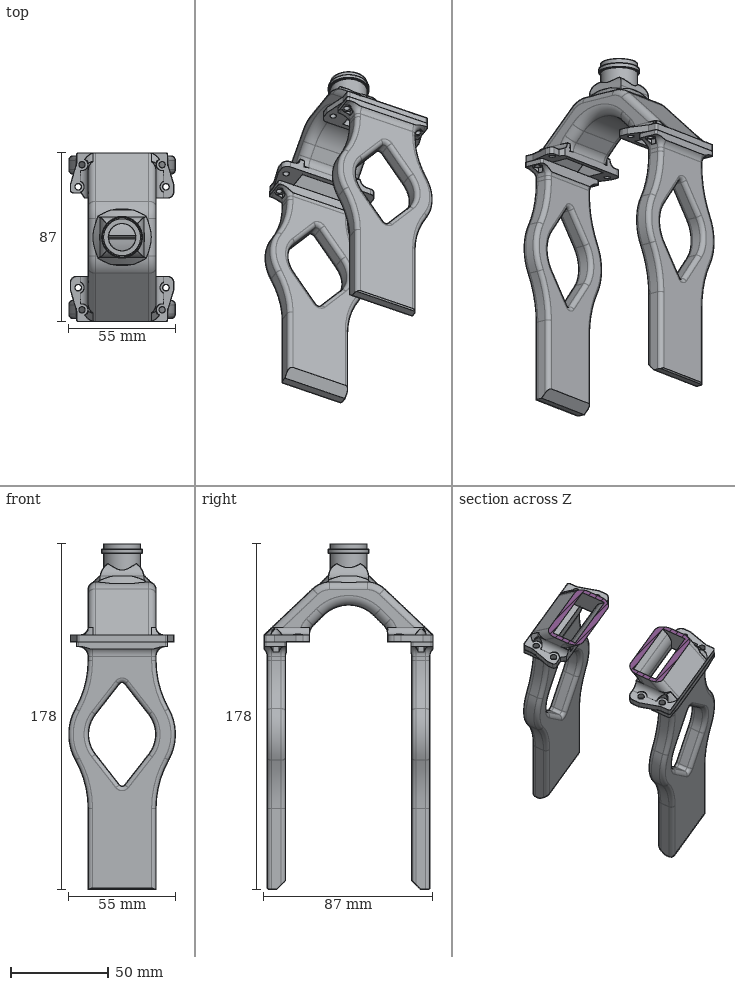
import cadquery as cq
import math

total_height = 178.0
total_width = 55.0
total_depth = 87.0
leg_length = 127.6
flange_thickness = 3.5
flange_top = leg_length + flange_thickness
body_width = 35.0
half_width = body_width / 2
outer_y = total_depth / 2

duct_top = 158.5
arch_crown = 146.5
arch_radius = 18.5
outer_slope = math.radians(43.5)
tunnel_slope = math.radians(45)
foot_inner_y = 20.1
shoulder_radius = 12.8
foot_bend_radius = 6.4
outer_edge_radius = 4.0
inner_edge_radius = 5.0
wall = 2.5
splitter_thickness = 1.6
splitter_height = 2.7
foot_blend_radius = 4.0

neck_diameter = 19.0
bore_diameter = 14.0
ring_diameter = 21.0
ring_height = 2.5
ring_bottom = 173.0
ring_chamfer = 0.4
flare_top = 167.9
flare_x_outline = [(7.3, flare_top), (10.1, 164.8), (11.4, 160.5)]
flare_y_outline = [(6.0, flare_top), (9.3, 165.0), (10.3, 161.6)]
flare_base = 154.9
skirt_bottom = 157.7
skirt_height = 4.0
skirt_corner = (12.8, 11.4)
skirt_reach_x = 15.5
skirt_reach_y = 14.6
skirt_taper = 45.0

ear_x = 26.7
ear_y = 27.0
ear_corner_radius = 3.4
flange_x = 23.3
flange_waist_y = 38.3
flange_corner_radius = 1.0
notch_depth = 2.7
notch_x = 21.0
notch_foot = 1.8
notch_corner_radius = 1.6
hole_diameter = 3.2
spotface_diameter = 6.0
leg_screw_x, leg_screw_y = 20.6, 37.4
ear_screw_x, ear_screw_y = 22.6, 26.0

screw_places = [(leg_screw_x, leg_screw_y), (ear_screw_x, ear_screw_y)]

leg_thickness = 9.5
leg_y = 37.2
leg_edge_radius = 2.3
leg_peak_x = total_width / 2
bulge_z = 80.0
bulge_half_length = 38.1
bulge_radius = 27.0
window_half_width = 17.3
window_half_height = 26.7
window_slope = math.radians(38)
window_tip_radius = 1.8
tip_bevel = 4.6
tip_chamfer = 0.7
head_x = 23.5
head_inner_y = 32.0
head_thickness = 2.5
head_bottom = leg_length - head_thickness
head_corner_radius = 1.0
head_flare_radius = 5.0
nut_across_flats = 5.2


def slope_z(y):
    """Height of the sloped outside of the duct at y."""
    return flange_top + (outer_y - y) * math.tan(outer_slope)


def roof(inset, half_length):
    """Prism under the outside of the duct, inset from it by a wall thickness."""
    top = duct_top - inset
    drop = inset / math.cos(outer_slope)
    end_y = outer_y - inset
    radius = shoulder_radius - inset
    run = radius * math.tan(outer_slope / 2)
    corner_y = outer_y - (top + drop - flange_top) / math.tan(outer_slope)
    flat_end_y = corner_y - run
    slope_start_y = corner_y + run * math.cos(outer_slope)
    shoulder_middle = (
        flat_end_y + radius * math.sin(outer_slope / 2),
        top - radius * (1 - math.cos(outer_slope / 2)),
    )
    return (
        cq.Workplane("YZ")
        .moveTo(0, top)
        .lineTo(flat_end_y, top)
        .threePointArc(shoulder_middle, (slope_start_y, slope_z(slope_start_y) - drop))
        .lineTo(end_y, slope_z(end_y) - drop)
        .lineTo(end_y, leg_length)
        .lineTo(0, leg_length)
        .mirrorY()
        .extrude(half_length, both=True)
    )


def rounded_roof(half_length, radius):
    """Outside of the duct with its two long edges rounded."""
    return roof(0, half_length).faces("|X").edges("not(|Z or <Z)").fillet(radius)


def tunnel(offset, half_length):
    """Prism of the open space under the duct, grown into the wall by an offset."""
    radius = arch_radius + offset
    axis_z = arch_crown - arch_radius
    half_turn = tunnel_slope / 2
    arc_end_y = radius * math.sin(tunnel_slope)
    arc_end_z = axis_z + radius * math.cos(tunnel_slope)
    side_y = foot_inner_y + offset
    bend = foot_bend_radius + offset
    bend_turn = math.pi / 2 - tunnel_slope
    run = bend * math.tan(bend_turn / 2)
    corner_z = arc_end_z - (side_y - arc_end_y) * math.tan(tunnel_slope)
    bend_middle = (
        side_y - bend * (1 - math.cos(bend_turn / 2)),
        corner_z - run + bend * math.sin(bend_turn / 2),
    )
    bend_end = (side_y - run * math.cos(tunnel_slope), corner_z + run * math.sin(tunnel_slope))
    return (
        cq.Workplane("YZ")
        .moveTo(0, leg_length)
        .lineTo(side_y, leg_length)
        .lineTo(side_y, corner_z - run)
        .threePointArc(bend_middle, bend_end)
        .lineTo(arc_end_y, arc_end_z)
        .threePointArc(
            (radius * math.sin(half_turn), axis_z + radius * math.cos(half_turn)),
            (0, axis_z + radius),
        )
        .mirrorY()
        .extrude(half_length, both=True)
    )


def make_arch():
    """Saddle with rounded edges, standing on two feet."""
    arch = rounded_roof(half_width, outer_edge_radius).cut(tunnel(0, body_width))
    around_tunnel = cq.selectors.BoxSelector(
        (-body_width, -foot_inner_y - wall, leg_length - wall),
        (body_width, foot_inner_y + wall, arch_crown + wall),
    )
    rims = arch.faces("|X").edges(around_tunnel)
    return rims.edges("not |Y").fillet(inner_edge_radius)


def make_cavity():
    """Air passage inside the arch, open at the feet and divided under the neck by a splitter."""
    half_length = half_width - wall
    passage = roof(wall, half_length).cut(tunnel(wall, body_width))
    floor_z = arch_crown + wall
    half_base = splitter_thickness / 2
    splitter = (
        cq.Workplane("YZ")
        .polyline([
            (half_base, arch_crown),
            (half_base, floor_z),
            (0, floor_z + splitter_height),
            (-half_base, floor_z),
            (-half_base, arch_crown),
        ])
        .close()
        .extrude(body_width, both=True)
    )
    return passage.cut(splitter)


def flare_prism(plane, outline):
    """Bell-shaped prism seen along one horizontal axis, giving two faces of the neck flare."""
    top, middle, foot = outline
    return (
        cq.Workplane(plane)
        .moveTo(0, flare_top)
        .lineTo(*top)
        .threePointArc(middle, foot)
        .lineTo(foot[0], flare_base)
        .lineTo(0, flare_base)
        .mirrorY()
        .extrude(body_width, both=True)
    )


def make_skirt():
    """Low tapered pad with four bulging sides under the neck flare."""
    corner_x, corner_y = skirt_corner
    return (
        cq.Workplane("XY", origin=(0, 0, skirt_bottom))
        .moveTo(corner_x, corner_y)
        .threePointArc((0, skirt_reach_y), (-corner_x, corner_y))
        .threePointArc((-skirt_reach_x, 0), (-corner_x, -corner_y))
        .threePointArc((0, -skirt_reach_y), (corner_x, -corner_y))
        .threePointArc((skirt_reach_x, 0), (corner_x, corner_y))
        .close()
        .extrude(skirt_height, taper=skirt_taper)
    )


def make_neck():
    """Round spigot with a four-sided flare at its foot and a snap ring near its mouth."""
    tube = cq.Workplane("XY").workplane(offset=flare_base).circle(neck_diameter / 2)
    tube = tube.extrude(total_height - flare_base)
    flare = flare_prism("XZ", flare_x_outline)
    flare = flare.intersect(flare_prism("YZ", flare_y_outline))
    ring = cq.Workplane("XY").workplane(offset=ring_bottom).circle(ring_diameter / 2)
    ring = ring.extrude(ring_height).edges().chamfer(ring_chamfer)
    return tube.union(flare).union(make_skirt()).union(ring)


def make_ear(notched):
    """Flange plate where X and Y are positive; a notched ear has its inner corner cut off."""
    lobe_y = foot_inner_y + notch_depth if notched else foot_inner_y
    flange = (
        cq.Workplane("XY")
        .workplane(offset=leg_length)
        .moveTo(0, outer_y)
        .lineTo(flange_x, outer_y)
        .lineTo(flange_x, flange_waist_y)
        .lineTo(ear_x, ear_y)
        .lineTo(ear_x, lobe_y)
    )
    if notched:
        flange = flange.lineTo(notch_x, lobe_y).lineTo(half_width + notch_foot, foot_inner_y)
    flange = flange.lineTo(0, foot_inner_y).close().extrude(flange_thickness)
    flange = round_corner(flange, (flange_x, outer_y), flange_corner_radius)
    lobe_radius = notch_corner_radius if notched else ear_corner_radius
    return round_corner(flange, (ear_x, lobe_y), lobe_radius)


def round_corner(plate, corner, radius):
    """Round the vertical edge of a plate nearest to a corner point."""
    middle = (*corner, leg_length + flange_thickness / 2)
    return plate.edges("|Z").edges(cq.selectors.NearestToPointSelector(middle)).fillet(radius)


def make_foot_blend(ear):
    """Concave blend between the side of the duct and one flange ear, cut clear of the screws."""
    radius = foot_blend_radius
    blend = (
        cq.Workplane("XZ")
        .moveTo(half_width - wall, flange_top)
        .lineTo(half_width + radius, flange_top)
        .radiusArc((half_width, flange_top + radius), radius)
        .lineTo(half_width - wall, flange_top + radius)
        .close()
        .extrude(-outer_y)
    )
    above_ear = ear.faces(">Z").wires().toPending().extrude(radius, combine=False)
    blend = blend.intersect(above_ear)
    blend = blend.intersect(rounded_roof(half_width + radius, outer_edge_radius + radius))
    seats = cq.Workplane("XY").workplane(offset=flange_top).pushPoints(screw_places)
    return blend.cut(seats.circle(spotface_diameter / 2).extrude(duct_top - flange_top))


def make_quarter_flange(notched):
    """One ear of the flange with its blend and two screw holes, where X and Y are positive."""
    ear = make_ear(notched)
    holes = cq.Workplane("XY").workplane(offset=leg_length).pushPoints(screw_places)
    flange = ear.union(make_foot_blend(ear))
    return flange.cut(holes.circle(hole_diameter / 2).extrude(flange_thickness))


def make_duct():
    """Duct with its neck, its flanges and the air passage through it."""
    duct = make_arch().union(make_neck())
    for mirror_x in (False, True):
        for mirror_y in (False, True):
            quarter = make_quarter_flange(notched=mirror_x and not mirror_y)
            if mirror_x:
                quarter = quarter.mirror("YZ")
            if mirror_y:
                quarter = quarter.mirror("XZ")
            duct = duct.union(quarter)
    bore = cq.Workplane("XY").workplane(offset=arch_crown + wall + splitter_height)
    bore = bore.circle(bore_diameter / 2).extrude(total_height)
    return duct.cut(make_cavity()).cut(bore)


def make_blade():
    """Flat blade that bulges around a rounded diamond window."""
    rise = leg_peak_x - half_width
    turn = 2 * math.atan(rise / bulge_half_length)
    hollow_radius = bulge_half_length / math.sin(turn) - bulge_radius

    def convex(angle):
        return leg_peak_x - bulge_radius * (1 - math.cos(angle)), bulge_radius * math.sin(angle)

    def hollow(angle):
        x = half_width + hollow_radius * (1 - math.cos(angle))
        return x, bulge_half_length - hollow_radius * math.sin(angle)

    def at_bulge(point, side):
        return point[0], bulge_z + side * point[1]

    blade = (
        cq.Workplane("XZ", origin=(0, leg_y, 0))
        .moveTo(0, 0)
        .lineTo(half_width, 0)
        .lineTo(half_width, bulge_z - bulge_half_length)
        .threePointArc(at_bulge(hollow(turn / 2), -1), at_bulge(convex(turn), -1))
        .threePointArc((leg_peak_x, bulge_z), at_bulge(convex(turn), 1))
        .threePointArc(at_bulge(hollow(turn / 2), 1), (half_width, bulge_z + bulge_half_length))
        .lineTo(half_width, leg_length)
        .lineTo(0, leg_length)
        .mirrorY()
        .extrude(leg_thickness / 2, both=True)
    )
    blade = blade.cut(make_window())
    rims = blade.faces("|Y").edges("not(<Z or >Z)")
    blade = rims.fillet(leg_edge_radius)
    return blade.intersect(make_tip_envelope())


def make_tip_envelope():
    """Side outline of a blade, bevelled at the tip towards the inside and chamfered outside."""
    inner_y = leg_y - leg_thickness / 2
    back_y = leg_y + leg_thickness / 2
    return (
        cq.Workplane("YZ")
        .polyline([
            (inner_y, leg_length),
            (inner_y, tip_bevel),
            (inner_y + tip_bevel, 0),
            (back_y - tip_chamfer, 0),
            (back_y, tip_chamfer),
            (back_y, leg_length),
        ])
        .close()
        .extrude(body_width, both=True)
    )


def make_window():
    """Diamond opening with wide side curves and tight upper and lower tips."""
    tip_distance = window_half_height + window_tip_radius * (1 / math.sin(window_slope) - 1)
    side_distance = tip_distance * math.tan(window_slope)
    side_radius = (side_distance - window_half_width) / (1 / math.cos(window_slope) - 1)
    window = (
        cq.Workplane("XZ", origin=(0, leg_y, bulge_z))
        .polyline([(side_distance, 0), (0, tip_distance), (-side_distance, 0), (0, -tip_distance)])
        .close()
        .extrude(leg_thickness, both=True)
    )
    window = window.edges("|Y").edges("<X or >X").fillet(side_radius)
    tips = window.edges("|Y").edges("<Z or >Z")
    return tips.fillet(window_tip_radius)


def make_head():
    """Head plate that flares out of the top of the blade."""
    slab_side = 2 * ear_x
    post_bottom = bulge_z + bulge_half_length
    post = (
        cq.Workplane("XY", origin=(0, leg_y, post_bottom))
        .rect(body_width, leg_thickness)
        .extrude(head_bottom - post_bottom)
        .edges("|Z")
        .fillet(leg_edge_radius)
    )
    slab = cq.Workplane("XY", origin=(0, leg_y, head_bottom)).rect(slab_side, slab_side)
    slab = slab.extrude(head_thickness)
    joint = cq.selectors.BoxSelector(
        (-head_x, leg_y - leg_thickness, head_bottom - wall),
        (head_x, leg_y + leg_thickness, head_bottom + head_thickness / 2),
    )
    head = post.union(slab).faces("|Z").edges(joint).fillet(head_flare_radius)
    outline = (
        cq.Workplane("XY", origin=(0, (head_inner_y + outer_y) / 2, 0))
        .rect(2 * head_x, outer_y - head_inner_y)
        .extrude(leg_length)
        .edges("|Z")
        .fillet(head_corner_radius)
    )
    return head.intersect(outline)


def make_leg():
    """Leg on the +Y side: blade and head with the nut pockets and screw holes."""
    leg = make_blade().union(make_head())
    nut_pocket = (
        cq.Workplane("XY", origin=(0, 0, head_bottom - head_flare_radius))
        .polygon(6, nut_across_flats, circumscribed=True)
        .extrude(head_flare_radius)
    )
    screw_hole = cq.Workplane("XY", origin=(0, 0, head_bottom)).circle(hole_diameter / 2)
    fastener_space = nut_pocket.union(screw_hole.extrude(head_thickness))
    for screw_x in (-leg_screw_x, leg_screw_x):
        leg = leg.cut(fastener_space.translate((screw_x, leg_screw_y, 0)))
    return leg


duct = make_duct()
back_leg = make_leg()
legs = [back_leg, back_leg.mirror("XZ")]
result = cq.Compound.makeCompound([duct.val(), *[leg.val() for leg in legs]])